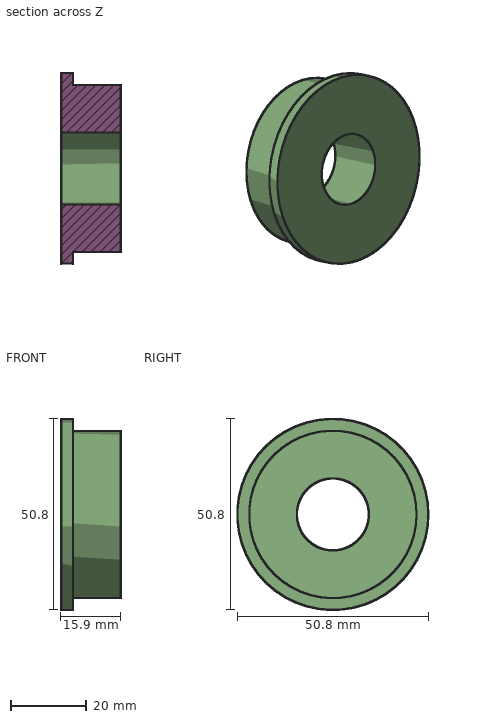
import cadquery as cq

INCH = 25.4

flange_diameter = 2.0 * INCH
body_diameter = 1.75 * INCH
bore_diameter = 0.75 * INCH
overall_length = 0.625 * INCH
flange_thickness = 0.125 * INCH


def cylinder_along_x(diameter, length):
    """Solid cylinder from X = 0 towards +X, centred on the X axis."""
    return cq.Workplane("YZ").circle(diameter / 2).extrude(length)


flange = cylinder_along_x(flange_diameter, flange_thickness)
body = cylinder_along_x(body_diameter, overall_length)
bore = cylinder_along_x(bore_diameter, overall_length)

result = flange.union(body).cut(bore)